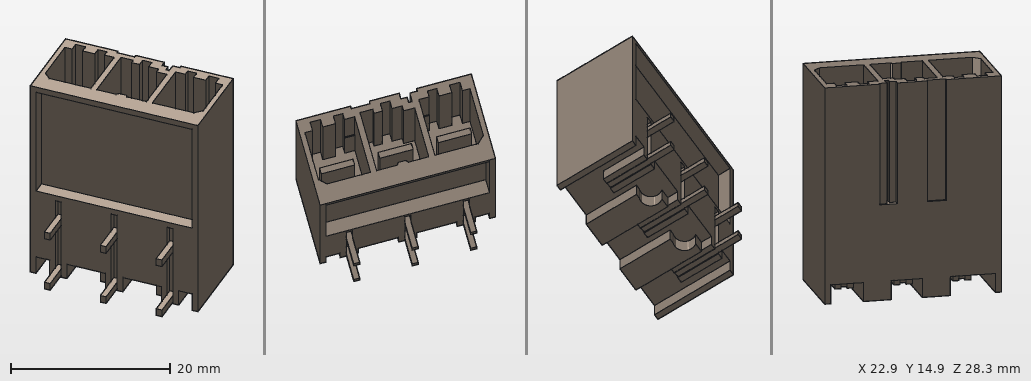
import cadquery as cq
import math

WIDTH = 22.87
DEPTH = 11.4
HEIGHT = 28.3
POLE_PITCH = WIDTH / 3
POLE_XS = [-POLE_PITCH, 0.0, POLE_PITCH]
WALL = 0.8

WINDOW_FLOOR = 12.5
WINDOW_DEPTH = 1.75
WINDOW_WIDTH = WIDTH - 2 * WALL
WINDOW_HEIGHT = HEIGHT - WALL - WINDOW_FLOOR

CAVITY_FLOOR = WINDOW_FLOOR
CAVITY_FRONT = 2.43
GROOVE_BACK = 10.73
RIB_FACE = 9.7
OUTER_SHOULDER = 9.6
INNER_SHOULDER = 9.93
LEDGE_TOP = 19.8
LEDGE_WIDTH = 0.15
SIDE_CHAMFER = 0.88

SIDE_OUTER_X = -10.75
OUTER_GROOVE_LEFT = -9.75
OUTER_GROOVE_RIGHT = -8.4
INNER_GROOVE_LEFT = -6.74
INNER_GROOVE_RIGHT = -5.52
SIDE_INNER_X = -4.2

MIDDLE_HALF_WIDTH = 3.4
MIDDLE_LEFT_STEP = -1.73
MIDDLE_GROOVE_HALF_WIDTH = 0.62
MIDDLE_RIGHT_STEP = 1.95
MIDDLE_LEFT_BACK = 10.27
MIDDLE_RIGHT_BACK = 9.03
KEY_HEIGHT = 0.3
KEY_BASE_HALF_WIDTH = 0.74
KEY_TOP_HALF_WIDTH = 0.55

CHANNEL_BOTTOM = CAVITY_FLOOR
CHANNEL_DEPTH = 0.35
CHANNEL_OUTER_X = 4.3
CHANNEL_INNER_X = 1.87
HOOK_LEFT = 2.05
HOOK_SHOULDER = 10.65
HOOK_TIP = 9.93
HOOK_TIP_LEFT = 2.85
HOOK_TIP_RIGHT = 3.3

NOTCH_HEIGHT = 2.5
LEG_WIDTH = 3 * WALL
LEG_BOTTOM = 0.3
POST_FRONT = 1.5
POCKET_WIDTH = 1.7
POCKET_OFFSET = 0.48
POCKET_RADIUS = 1.5
POST_WIDTH = 3.62
POST_LEDGE = 1.3

TERMINAL_THICKNESS = 0.8
BLADE_WIDTH = 4.35
BLADE_CENTRE_Y = 5.75
BLADE_TOP = 22.65
PLATE_FRONT = 0.85
PLATE_BACK = BLADE_CENTRE_Y + TERMINAL_THICKNESS / 2
PLATE_BOTTOM = 0.55
PLATE_TOP = WINDOW_FLOOR - WALL
PIN_LENGTH = 3.5
PIN_HEIGHT = 1.02
PIN_BOTTOMS = [PLATE_BOTTOM, PLATE_BOTTOM + POLE_PITCH]


def box(x_range, y_range, z_range):
    """Box between the given limits along each axis."""
    (x0, x1), (y0, y1), (z0, z1) = x_range, y_range, z_range
    return cq.Workplane("XY").box(x1 - x0, y1 - y0, z1 - z0, centered=False).translate((x0, y0, z0))


def prism(points, z_bottom, z_top):
    """Vertical prism on an XY outline."""
    return cq.Workplane("XY").workplane(offset=z_bottom).polyline(points).close().extrude(z_top - z_bottom)


def centred(x, width):
    """Limits of a width centred on x."""
    return (x - width / 2, x + width / 2)


def left_cavity():
    """Cavity of the left pole, with two guide grooves at the rear and one chamfered front corner."""
    outline = [
        (SIDE_OUTER_X, OUTER_SHOULDER),
        (OUTER_GROOVE_LEFT, OUTER_SHOULDER),
        (OUTER_GROOVE_LEFT, GROOVE_BACK),
        (OUTER_GROOVE_RIGHT, GROOVE_BACK),
        (OUTER_GROOVE_RIGHT, RIB_FACE),
        (INNER_GROOVE_LEFT, RIB_FACE),
        (INNER_GROOVE_LEFT, GROOVE_BACK),
        (INNER_GROOVE_RIGHT, GROOVE_BACK),
        (INNER_GROOVE_RIGHT, INNER_SHOULDER),
        (SIDE_INNER_X, INNER_SHOULDER),
        (SIDE_INNER_X, CAVITY_FRONT),
        (SIDE_OUTER_X + SIDE_CHAMFER, CAVITY_FRONT),
        (SIDE_OUTER_X, CAVITY_FRONT + SIDE_CHAMFER),
    ]
    ledge_depths = (INNER_SHOULDER - LEDGE_WIDTH, INNER_SHOULDER)
    ledge = box((INNER_GROOVE_RIGHT, SIDE_INNER_X), ledge_depths, (CAVITY_FLOOR, LEDGE_TOP))
    return prism(outline, CAVITY_FLOOR, HEIGHT).cut(ledge)


def middle_cavity():
    """Cavity of the middle pole, with one guide groove and a small key on the front wall."""
    outline = [
        (-MIDDLE_HALF_WIDTH, MIDDLE_LEFT_BACK),
        (MIDDLE_LEFT_STEP, MIDDLE_LEFT_BACK),
        (MIDDLE_LEFT_STEP, RIB_FACE),
        (-MIDDLE_GROOVE_HALF_WIDTH, RIB_FACE),
        (-MIDDLE_GROOVE_HALF_WIDTH, GROOVE_BACK),
        (MIDDLE_GROOVE_HALF_WIDTH, GROOVE_BACK),
        (MIDDLE_GROOVE_HALF_WIDTH, RIB_FACE),
        (MIDDLE_RIGHT_STEP, RIB_FACE),
        (MIDDLE_RIGHT_STEP, MIDDLE_RIGHT_BACK),
        (MIDDLE_HALF_WIDTH, MIDDLE_RIGHT_BACK),
        (MIDDLE_HALF_WIDTH, CAVITY_FRONT),
        (KEY_BASE_HALF_WIDTH, CAVITY_FRONT),
        (KEY_TOP_HALF_WIDTH, CAVITY_FRONT + KEY_HEIGHT),
        (-KEY_TOP_HALF_WIDTH, CAVITY_FRONT + KEY_HEIGHT),
        (-KEY_BASE_HALF_WIDTH, CAVITY_FRONT),
        (-MIDDLE_HALF_WIDTH, CAVITY_FRONT),
    ]
    return prism(outline, CAVITY_FLOOR, HEIGHT)


def rear_channels():
    """Plain shallow channel and a hooked keying channel, both open at the top."""
    floor = DEPTH - CHANNEL_DEPTH
    plain = box((-CHANNEL_OUTER_X, -CHANNEL_INNER_X), (floor, DEPTH), (CHANNEL_BOTTOM, HEIGHT))
    hook_outline = [
        (HOOK_LEFT, DEPTH),
        (HOOK_LEFT, HOOK_SHOULDER),
        (HOOK_TIP_LEFT, HOOK_SHOULDER),
        (HOOK_TIP_LEFT, HOOK_TIP),
        (HOOK_TIP_RIGHT, HOOK_TIP),
        (HOOK_TIP_RIGHT, floor),
        (CHANNEL_OUTER_X, floor),
        (CHANNEL_OUTER_X, DEPTH),
    ]
    return plain.union(prism(hook_outline, CHANNEL_BOTTOM, HEIGHT))


def leg(x):
    """Leg around a terminal slot, as deep as the slot."""
    return box(centred(x, LEG_WIDTH), (0, PLATE_BACK), (LEG_BOTTOM, NOTCH_HEIGHT))


def post(right):
    """Post left of a leg, with an undercut round pocket in its front left corner."""
    shoulder = right - POST_LEDGE
    left = right - POST_WIDTH
    arc_left = shoulder - POCKET_WIDTH
    centre_x = arc_left + POCKET_OFFSET
    centre_y = POST_FRONT + math.sqrt(POCKET_RADIUS**2 - (shoulder - centre_x) ** 2)
    step = centre_y + math.sqrt(POCKET_RADIUS**2 - POCKET_OFFSET**2)
    return (
        cq.Workplane("XY")
        .moveTo(right, POST_FRONT)
        .lineTo(shoulder, POST_FRONT)
        .threePointArc((centre_x + POCKET_RADIUS, centre_y), (arc_left, step))
        .lineTo(left, step)
        .lineTo(left, DEPTH)
        .lineTo(right, DEPTH)
        .close()
        .extrude(NOTCH_HEIGHT)
    )


def make_terminal(x):
    """Upright plate with two pins at the front and a flat blade on top."""
    thickness = centred(x, TERMINAL_THICKNESS)
    terminal = box(thickness, (PLATE_FRONT, PLATE_BACK), (PLATE_BOTTOM, PLATE_TOP))
    blade = box(centred(x, BLADE_WIDTH), centred(BLADE_CENTRE_Y, TERMINAL_THICKNESS), (PLATE_TOP, BLADE_TOP))
    terminal = terminal.union(blade)
    for bottom in PIN_BOTTOMS:
        terminal = terminal.union(box(thickness, (-PIN_LENGTH, PLATE_FRONT), (bottom, bottom + PIN_HEIGHT)))
    return terminal


def make_housing():
    """Block with three plug cavities, front window, rear channels, underside legs and terminal seats."""
    half = WIDTH / 2
    housing = box((-half, half), (0, DEPTH), (0, HEIGHT))
    housing = housing.cut(
        box(centred(0, WINDOW_WIDTH), (0, WINDOW_DEPTH), (WINDOW_FLOOR, WINDOW_FLOOR + WINDOW_HEIGHT))
    )
    left = left_cavity()
    housing = housing.cut(left).cut(left.mirror("YZ")).cut(middle_cavity())

    housing = housing.cut(box(centred(0, WINDOW_WIDTH), (0, DEPTH), (0, NOTCH_HEIGHT)))
    for x in POLE_XS:
        housing = housing.union(leg(x))
    for x in POLE_XS[1:]:
        housing = housing.union(post(x - LEG_WIDTH / 2))
    housing = housing.cut(rear_channels())

    for x in POLE_XS:
        housing = housing.cut(box(centred(x, TERMINAL_THICKNESS), (0, PLATE_BACK), (0, PLATE_TOP)))
        housing = housing.cut(make_terminal(x))
    return housing


housing = make_housing()
terminals = [make_terminal(x) for x in POLE_XS]
result = cq.Compound.makeCompound([housing.val(), *[t.val() for t in terminals]])